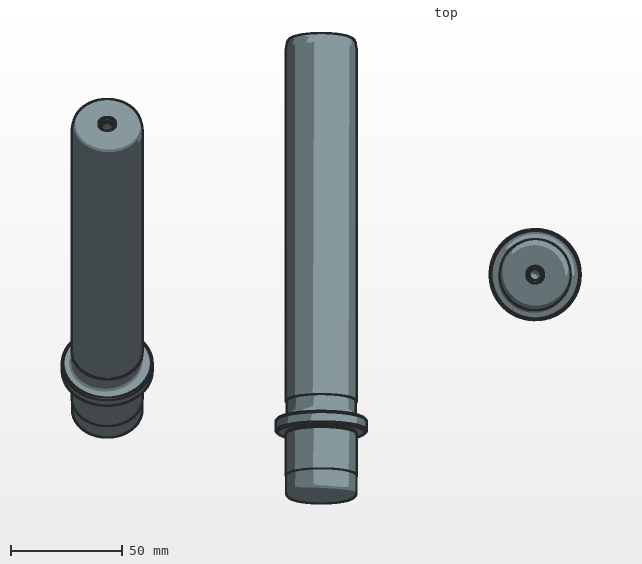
import cadquery as cq

total_length = 210.0
pin_radius = 16.0
flange_diameter = 41.0
flange_radius = flange_diameter / 2

pilot_edge_radius = 2.5
pilot_clearance = 0.05
pilot_radius = pin_radius - pilot_clearance
pilot_top_z = 10.0
undercut_bottom_z = 29.0
undercut_chamfer = 0.5

flange_bottom_z = 29.8
flange_thickness = 5.9
flange_chamfer = 0.8
flange_top_z = flange_bottom_z + flange_thickness

neck_radius = 15.5
neck_top_z = 44.0
neck_fillet = 2.7

taper_start_z = total_length - 4.8
lead_in_radius = 15.5
lead_in_rounding = 2.5

counterbore_mouth_radius = 4.0
counterbore_radius = 3.5
counterbore_depth = 2.5
bore_radius = 2.5
bore_depth = 10.5


def pin_body():
    """Revolve the half profile, from the bottom centre up to the top centre."""
    return (
        cq.Workplane("XZ")
        .lineTo(pilot_radius - pilot_edge_radius, 0)
        .radiusArc((pilot_radius, pilot_edge_radius), -pilot_edge_radius)
        .lineTo(pilot_radius, pilot_top_z)
        .lineTo(pin_radius, pilot_top_z)
        .lineTo(pin_radius, undercut_bottom_z)
        .lineTo(neck_radius, undercut_bottom_z + undercut_chamfer)
        .lineTo(neck_radius, flange_bottom_z)
        .lineTo(flange_radius - flange_chamfer, flange_bottom_z)
        .lineTo(flange_radius, flange_bottom_z + flange_chamfer)
        .lineTo(flange_radius, flange_top_z - flange_chamfer)
        .lineTo(flange_radius - flange_chamfer, flange_top_z)
        .lineTo(neck_radius + neck_fillet, flange_top_z)
        .radiusArc((neck_radius, flange_top_z + neck_fillet), neck_fillet)
        .lineTo(neck_radius, neck_top_z)
        .lineTo(pin_radius, neck_top_z)
        .lineTo(pin_radius, taper_start_z)
        .lineTo(lead_in_radius, total_length - lead_in_rounding)
        .radiusArc((lead_in_radius - lead_in_rounding, total_length), -lead_in_rounding)
        .lineTo(0, total_length)
        .close()
        .revolve(360, (0, 0, 0), (0, 1, 0))
    )


def centre_hole():
    """Revolved cutter: chamfered counterbore, then a bore with a 45-degree conical bottom."""
    mouth_chamfer = counterbore_mouth_radius - counterbore_radius
    ledge_z = total_length - counterbore_depth
    bore_bottom_z = total_length - bore_depth
    return (
        cq.Workplane("XZ")
        .moveTo(0, total_length)
        .lineTo(counterbore_mouth_radius, total_length)
        .lineTo(counterbore_radius, total_length - mouth_chamfer)
        .lineTo(counterbore_radius, ledge_z)
        .lineTo(bore_radius, ledge_z)
        .lineTo(bore_radius, bore_bottom_z)
        .lineTo(0, bore_bottom_z - bore_radius)
        .close()
        .revolve(360, (0, 0, 0), (0, 1, 0))
    )


result = pin_body().cut(centre_hole())